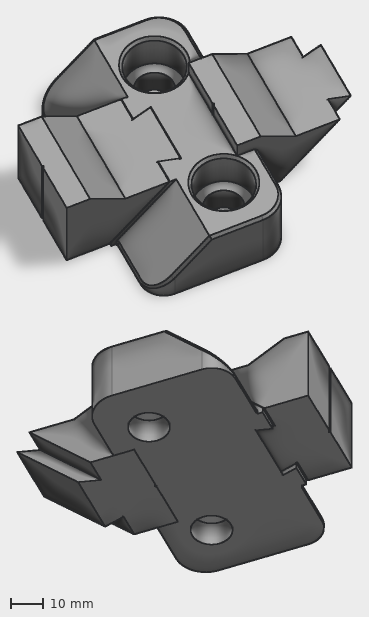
import math

import cadquery as cq


BASE_WIDTH = 85.0
BASE_HEIGHT = 22.0
PLATE_FRONT_Y = -48.2
PLATE_SLOPE_TOP_Y = -27.9
BACK_CORNER_RADIUS = 10.0
FRONT_CORNER_RADIUS = 8.0
EDGE_CHAMFER = 1.0

HOLE_SPACING = 50.0
HOLE_Y = -15.1
BOLT_DIAMETER = 13.0
COUNTERBORE_DIAMETER = 20.0
COUNTERBORE_DEPTH = 13.0
COUNTERBORE_CHAMFER = 1.0

JAW_WIDTH = 35.0
JAW_HEIGHT = 29.0
JAW_UNDERSIDE_Z = 1.5
JAW_FACE_Y = -65.4
JAW_LIP_LENGTH = 8.0
JAW_RAMP_LENGTH = 12.1
JAW_DECK_LENGTH = 15.1
JAW_COUNT = 2
JAW_PITCH = 58.4
GROOVE_WIDTH = 1.0
GROOVE_DEPTH = 0.5
JAW_LIP_Y = JAW_FACE_Y + JAW_LIP_LENGTH
JAW_DECK_Y = JAW_LIP_Y + JAW_RAMP_LENGTH
JAW_NECK_Y = JAW_DECK_Y + JAW_DECK_LENGTH
BACK_JAW_FACE_Y = JAW_FACE_Y + JAW_PITCH

DOVETAIL_NECK_WIDTH = 17.9
DOVETAIL_TIP_WIDTH = 21.6
TENON_LENGTH = 6.9

SEAT_FRONT_Y = -50.1
SEAT_FILLET = 1.0
JAW_CLEARANCE = 0.2
SEAT_SLOPE_TOP_Y = JAW_NECK_Y + JAW_CLEARANCE

OVERSIZE = 201.1


def block(width, front_y, back_y, height):
    """Box on Z = 0, centred on X = 0."""
    box = cq.Workplane("XY").box(width, back_y - front_y, height, centered=(True, False, False))
    return box.translate((0, front_y, 0))


def side_profile(points, width):
    """Extrude a (y, z) outline across X, centred on X = 0."""
    return cq.Workplane("YZ").polyline(points).close().extrude(width / 2, both=True)


def dovetail(length, drop):
    """Dovetail bar from the jaw neck towards +Y that runs down at 45 degrees from the base top."""
    flare = (DOVETAIL_TIP_WIDTH - DOVETAIL_NECK_WIDTH) / 2 / TENON_LENGTH
    neck = DOVETAIL_NECK_WIDTH / 2
    tip = neck + flare * length
    tip_y = JAW_NECK_Y + length
    corners = [(-neck, JAW_NECK_Y), (neck, JAW_NECK_Y), (tip, tip_y), (-tip, tip_y)]
    outline = cq.Wire.makePolygon([cq.Vector(x, y, BASE_HEIGHT) for x, y in corners], close=True)
    bar = cq.Solid.extrudeLinear(outline, [], cq.Vector(0, -drop, -drop))
    return cq.Workplane(obj=bar)


def slope_plane(depth):
    """Plane parallel to the plate slope, at a depth below it, with its normal up and forward."""
    origin = cq.Vector(0, PLATE_SLOPE_TOP_Y, BASE_HEIGHT)
    normal = cq.Vector(0, -1, 1).normalized()
    return cq.Plane(origin - normal * depth, xDir=(1, 0, 0), normal=normal)


def plate_blank(inset, height):
    """Rounded plate with every side moved in by inset; a tongue runs forward under the seat."""
    width = BASE_WIDTH - 2 * inset
    plate = block(width, PLATE_FRONT_Y + inset, -inset, height)
    plate = plate.edges("|Z and >Y").fillet(BACK_CORNER_RADIUS - inset)
    plate = plate.edges("|Z and <Y").fillet(FRONT_CORNER_RADIUS - inset)

    tongue_half = JAW_WIDTH / 2 - inset
    tongue = block(2 * tongue_half, -OVERSIZE / 2, -BACK_CORNER_RADIUS, height)
    plate = plate.union(tongue)
    for side in (-1, 1):
        inner_corner = (side * tongue_half, PLATE_FRONT_Y + inset, height / 2)
        plate = plate.edges(cq.NearestToPointSelector(inner_corner)).fillet(SEAT_FILLET + inset)
    return plate


def slope_section(inset, depth):
    """Section of the inset plate, parallel to the slope and shifted to meet the chamfer."""
    shift = -EDGE_CHAMFER / math.sqrt(2)
    plate = plate_blank(inset, OVERSIZE).translate((0, shift, 0)).val()
    plane = slope_plane(depth)
    cut = cq.Face.makePlane(2 * OVERSIZE, 2 * OVERSIZE, plane.origin, plane.zDir).intersect(plate)
    return cut.Faces()[0].outerWire()


def slope_rim_cutter():
    """Material outside the chamfer that runs round the slope.

    The chamfer halves the angle between slope and side wall everywhere, so it narrows from the
    square side edges to the blunt front edge.
    """
    core = cq.Solid.makeLoft([slope_section(EDGE_CHAMFER, 0), slope_section(0, EDGE_CHAMFER)], True)
    layer = cq.Workplane(slope_plane(0)).rect(OVERSIZE, OVERSIZE).extrude(-EDGE_CHAMFER)
    return layer.cut(cq.Workplane(obj=core))


def make_plate():
    """Plate with a chamfered top, cut down in front to the chamfered slope."""
    plate = plate_blank(0, BASE_HEIGHT).faces(">Z").edges().chamfer(EDGE_CHAMFER)
    above_slope = cq.Workplane(slope_plane(0)).rect(2 * OVERSIZE, 2 * OVERSIZE).extrude(OVERSIZE)
    return plate.cut(above_slope).cut(slope_rim_cutter())


def make_seat():
    """Centre block with its own slope, truncated by a low upright front."""
    truncation_z = BASE_HEIGHT - (SEAT_SLOPE_TOP_Y - SEAT_FRONT_Y)
    return side_profile(
        [
            (0, 0),
            (0, BASE_HEIGHT),
            (SEAT_SLOPE_TOP_Y, BASE_HEIGHT),
            (SEAT_FRONT_Y, truncation_z),
            (SEAT_FRONT_Y, 0),
        ],
        JAW_WIDTH,
    )


def bolt_hole_cutter():
    """Bolt hole with its chamfered counterbore, centred on the Z axis."""
    bolt = BOLT_DIAMETER / 2
    bore = COUNTERBORE_DIAMETER / 2
    floor_z = BASE_HEIGHT - COUNTERBORE_DEPTH
    half_section = [
        (0, 0),
        (bolt, 0),
        (bolt, floor_z),
        (bore, floor_z),
        (bore, BASE_HEIGHT - COUNTERBORE_CHAMFER),
        (bore + COUNTERBORE_CHAMFER, BASE_HEIGHT),
        (0, BASE_HEIGHT),
    ]
    return cq.Workplane("XZ").polyline(half_section).close().revolve(360, (0, 0), (0, 1))


def make_base():
    """Plate and seat in one, with the dovetail slot, the back jaw recess and the bolt holes."""
    base = make_plate().union(make_seat())
    base = base.cut(dovetail(TENON_LENGTH + JAW_CLEARANCE, BASE_HEIGHT))
    base = base.cut(block(JAW_WIDTH, BACK_JAW_FACE_Y, 0, BASE_HEIGHT))
    for side in (-1, 1):
        base = base.cut(bolt_hole_cutter().translate((side * HOLE_SPACING / 2, HOLE_Y, 0)))
    return base


def make_jaw():
    """Front jaw: raised lip and ramp in front of a flat deck, sloping back with a dovetail tenon."""
    drop = BASE_HEIGHT - JAW_UNDERSIDE_Z
    jaw = side_profile(
        [
            (JAW_FACE_Y, JAW_UNDERSIDE_Z),
            (JAW_FACE_Y, JAW_HEIGHT),
            (JAW_LIP_Y, JAW_HEIGHT),
            (JAW_DECK_Y, BASE_HEIGHT),
            (JAW_NECK_Y, BASE_HEIGHT),
            (JAW_NECK_Y - drop, JAW_UNDERSIDE_Z),
        ],
        JAW_WIDTH,
    )
    jaw = jaw.union(dovetail(TENON_LENGTH, drop))

    groove_half = GROOVE_WIDTH / 2
    groove_root = (0, JAW_FACE_Y + GROOVE_DEPTH)
    groove_outline = [(-groove_half, JAW_FACE_Y), (groove_half, JAW_FACE_Y), groove_root]
    groove = cq.Workplane("XY").polyline(groove_outline).close().extrude(JAW_HEIGHT)
    return jaw.cut(groove)


base = make_base()
jaws = [
    make_jaw().translate((0, index * JAW_PITCH, -index * JAW_UNDERSIDE_Z))
    for index in range(JAW_COUNT)
]

result = cq.Compound.makeCompound([base.solids().val(), *[jaw.solids().val() for jaw in jaws]])